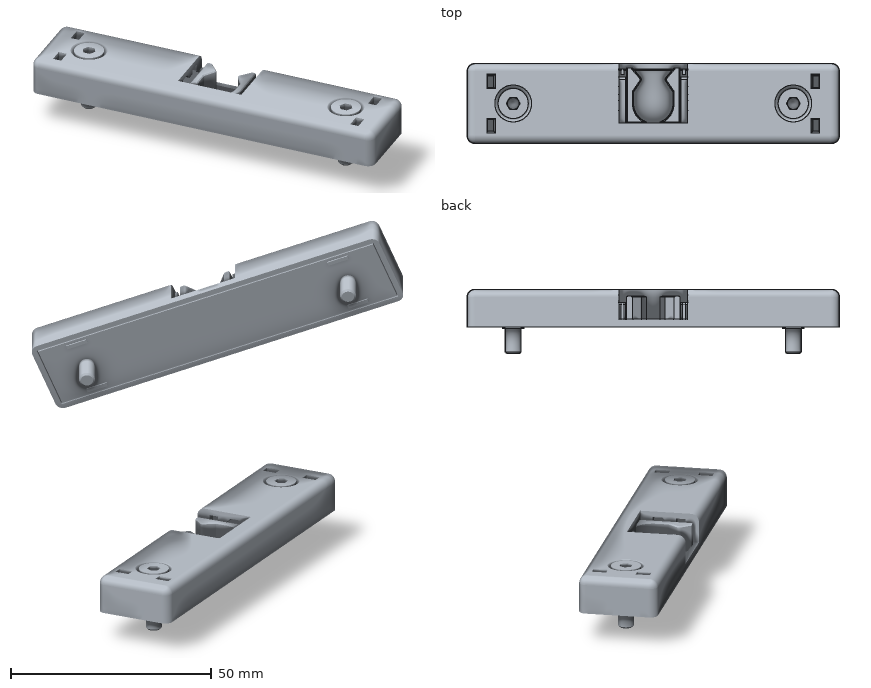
import cadquery as cq
import math

LENGTH = 93.0
WIDTH = 20.0
HEIGHT = 9.5
EDGE_RADIUS = 2.0

BASE_THICKNESS = 1.0
SILL_WIDTH = 1.4
BASE_CLEARANCE = 0.3
FOOT_LENGTH = 5.4
FOOT_WIDTH = 1.0
FOOT_HEIGHT = 0.3
FOOT_Y = 7.0

NOTCH_WIDTH = 17.2
NOTCH_FRONT_Y = -4.9
SILL_HEIGHT = 2.0
REAR_Y = WIDTH / 2
SILL_INNER_Y = REAR_Y - SILL_WIDTH

LEDGE_TOP_Z = 6.2
LEDGE_WIDTH = 1.7
LEDGE_END_Y = 6.6
LEDGE_CHAMFER = 0.6
STOP_WIDTH = 0.65
STOP_INSET = 0.9
STOP_LENGTH = 1.4

RECESS_DEPTH = 1.9
RECESS_FRONT_Y = -1.8
RECESS_TOP_Z = 8.0
LINTEL_Z = 6.5
LINTEL_FRONT_Y = 2.2
LINTEL_REAR_Y = 4.2

JAW_TOP_Z = 7.8
JAW_GAP = 0.3
JAW_OUTER_X = NOTCH_WIDTH / 2 - LEDGE_WIDTH - JAW_GAP
JAW_FRONT_Y = NOTCH_FRONT_Y + JAW_GAP
JAW_REAR_Y = 8.8
JAW_CHAMFER = 0.3
BOWL_RADIUS = 4.9
BOWL_STRAIGHT_Y = 2.9
NOSE_X = 2.8
NOSE_Y = 6.0
NOSE_RADIUS = 0.7
HORN_X = 5.2

SCREW_X = 35.0
SHANK_DIAMETER = 4.0
SCREW_TIP_Z = -6.6
TIP_CHAMFER = 0.5
HEAD_DIAMETER = 7.5
COUNTERSINK_DIAMETER = 9.2
SOCKET_FLATS = 3.0
SOCKET_DEPTH = 2.0
DRILL_POINT_ANGLE = 118

POCKET_X = 40.5
POCKET_Y = 5.6
POCKET_LENGTH = 2.2
POCKET_WIDTH = 3.6
POCKET_DEPTH = 5.6
POCKET_SIDE_TAPER = 0.42
POCKET_FLOOR_SHIFT_X = 0.2
POCKET_FLOOR_SHIFT_Y = 0.14

SIDES = (-1, 1)


def block(x_min, x_max, y_min, y_max, z_min, z_max):
    """Axis-aligned box between the given limits."""
    return (
        cq.Workplane("XY", origin=(x_min, y_min, z_min))
        .box(x_max - x_min, y_max - y_min, z_max - z_min, centered=False)
    )


def on_side(body, side):
    """The +X body itself, or its mirror image for the -X side."""
    return body if side > 0 else body.mirror("YZ")


def screw_places():
    """Centres of the two screws."""
    return [(side * SCREW_X, 0) for side in SIDES]


def shank_holes(depth):
    """Cylinders for both screw shanks, from Z = 0 up."""
    return cq.Workplane("XY").pushPoints(screw_places()).circle(SHANK_DIAMETER / 2).extrude(depth)


def countersink_cone():
    """Cone at 45 degrees from the top face down to its point."""
    radius = COUNTERSINK_DIAMETER / 2
    return cq.Workplane("XZ").polyline(
        [(0, HEIGHT), (radius, HEIGHT), (0, HEIGHT - radius)]
    ).close().revolve(360, (0, 0, 0), (0, 1, 0))


def pocket(side_x, side_y):
    """Tapered pocket whose floor is shifted outwards along X and inwards along Y."""
    return (
        cq.Workplane("XY", origin=(side_x * POCKET_X, side_y * POCKET_Y, HEIGHT))
        .rect(POCKET_LENGTH, POCKET_WIDTH)
        .workplane(offset=-POCKET_DEPTH)
        .center(side_x * POCKET_FLOOR_SHIFT_X, -side_y * POCKET_FLOOR_SHIFT_Y)
        .rect(POCKET_LENGTH - 2 * POCKET_SIDE_TAPER, POCKET_WIDTH - 2 * POCKET_SIDE_TAPER)
        .loft(ruled=True)
    )


def ledge():
    """Ledge and stop rib on the +X side of the notch."""
    wall_x = NOTCH_WIDTH / 2
    step = block(
        wall_x - LEDGE_WIDTH, wall_x, NOTCH_FRONT_Y, LEDGE_END_Y, BASE_THICKNESS, LEDGE_TOP_Z
    ).faces(">Z").edges(">Y").chamfer(LEDGE_CHAMFER)
    stop_x = wall_x - STOP_INSET
    stop = block(
        stop_x - STOP_WIDTH / 2, stop_x + STOP_WIDTH / 2,
        SILL_INNER_Y - STOP_LENGTH, SILL_INNER_Y, BASE_THICKNESS, LEDGE_TOP_Z,
    )
    return step.union(stop)


def wall_recess():
    """Recess into the +X wall of the notch, with a lintel between its two openings."""
    drop = RECESS_TOP_Z - LINTEL_Z
    return (
        cq.Workplane("YZ", origin=(NOTCH_WIDTH / 2, 0, 0))
        .polyline([
            (RECESS_FRONT_Y, LEDGE_TOP_Z),
            (RECESS_FRONT_Y, RECESS_TOP_Z),
            (LINTEL_FRONT_Y - drop, RECESS_TOP_Z),
            (LINTEL_FRONT_Y, LINTEL_Z),
            (LINTEL_REAR_Y, LINTEL_Z),
            (LINTEL_REAR_Y, RECESS_TOP_Z),
            (LEDGE_END_Y, RECESS_TOP_Z),
            (LEDGE_END_Y, LEDGE_TOP_Z),
        ])
        .close()
        .extrude(RECESS_DEPTH)
    )


def inset_plate(inset):
    """Plate as thick as the base, set in from the outer sides of the housing."""
    return cq.Workplane("XY").rect(LENGTH - 2 * inset, WIDTH - 2 * inset).extrude(BASE_THICKNESS)


def make_housing():
    """Rounded block with the base recess, notch, ledges, pockets and screw holes."""
    body = (
        cq.Workplane("XY").box(LENGTH, WIDTH, HEIGHT, centered=(True, True, False))
        .edges("|Z or >Z").fillet(EDGE_RADIUS)
    )
    body = body.cut(inset_plate(SILL_WIDTH))
    half_notch = NOTCH_WIDTH / 2
    body = body.cut(block(-half_notch, half_notch, NOTCH_FRONT_Y, REAR_Y, SILL_HEIGHT, HEIGHT))
    body = body.cut(block(-half_notch, half_notch, NOTCH_FRONT_Y, SILL_INNER_Y, 0, HEIGHT))
    for side in SIDES:
        body = body.union(on_side(ledge(), side))
        body = body.cut(on_side(wall_recess(), side))
        for side_y in SIDES:
            body = body.cut(pocket(side, side_y))
    for x, y in screw_places():
        body = body.cut(countersink_cone().translate((x, y, 0)))
    return body.cut(shank_holes(HEIGHT))


def make_base():
    """Base plate with two feet beside each screw."""
    plate = inset_plate(SILL_WIDTH + BASE_CLEARANCE)
    foot_places = [(x, side * FOOT_Y) for x, _ in screw_places() for side in SIDES]
    feet = cq.Workplane("XY").pushPoints(foot_places).rect(FOOT_LENGTH, FOOT_WIDTH).extrude(-FOOT_HEIGHT)
    return plate.cut(shank_holes(BASE_THICKNESS)).union(feet)


def make_jaw():
    """Jaw on the +X side: a round bowl that narrows to a nose and flares to a horn over the sill."""
    tip_x = math.sqrt(BOWL_RADIUS**2 - JAW_FRONT_Y**2)
    bowl_middle = BOWL_RADIUS * math.sqrt(0.5)
    return (
        cq.Workplane("XY", origin=(0, 0, BASE_THICKNESS))
        .moveTo(tip_x, JAW_FRONT_Y)
        .threePointArc((bowl_middle, -bowl_middle), (BOWL_RADIUS, 0))
        .lineTo(BOWL_RADIUS, BOWL_STRAIGHT_Y)
        .lineTo(NOSE_X, NOSE_Y)
        .lineTo(HORN_X, JAW_REAR_Y)
        .lineTo(JAW_OUTER_X, JAW_REAR_Y)
        .lineTo(JAW_OUTER_X, JAW_FRONT_Y)
        .close()
        .extrude(JAW_TOP_Z - BASE_THICKNESS)
        .edges(cq.selectors.NearestToPointSelector((NOSE_X, NOSE_Y, JAW_TOP_Z / 2)))
        .fillet(NOSE_RADIUS)
        .faces(">Z").edges("not |X").chamfer(JAW_CHAMFER)
        .cut(block(0, JAW_OUTER_X, SILL_INNER_Y, JAW_REAR_Y, BASE_THICKNESS, SILL_HEIGHT))
    )


def make_screw():
    """Countersunk screw whose head is flush with the top face, with a hexagon socket."""
    shank = SHANK_DIAMETER / 2
    head = HEAD_DIAMETER / 2
    rim_z = HEIGHT - (COUNTERSINK_DIAMETER - HEAD_DIAMETER) / 2
    neck_z = rim_z - (head - shank)
    profile = [
        (0, HEIGHT), (head, HEIGHT), (head, rim_z), (shank, neck_z),
        (shank, SCREW_TIP_Z + TIP_CHAMFER), (shank - TIP_CHAMFER, SCREW_TIP_Z), (0, SCREW_TIP_Z),
    ]
    screw = cq.Workplane("XZ").polyline(profile).close().revolve(360, (0, 0, 0), (0, 1, 0))
    socket_floor = HEIGHT - SOCKET_DEPTH
    socket = (
        cq.Workplane("XY", origin=(0, 0, socket_floor))
        .polygon(6, SOCKET_FLATS / math.cos(math.pi / 6)).extrude(SOCKET_DEPTH)
    )
    drill_radius = SOCKET_FLATS / 2
    drill_depth = drill_radius / math.tan(math.radians(DRILL_POINT_ANGLE / 2))
    drill_point = cq.Workplane("XZ").polyline(
        [(0, socket_floor), (drill_radius, socket_floor), (0, socket_floor - drill_depth)]
    ).close().revolve(360, (0, 0, 0), (0, 1, 0))
    return screw.cut(socket).cut(drill_point)


housing = make_housing()
base = make_base()
jaws = [on_side(make_jaw(), side) for side in SIDES]
screws = [make_screw().translate((x, y, 0)) for x, y in screw_places()]

bodies = [housing, base, *jaws, *screws]
result = cq.Compound.makeCompound([body.solids().val() for body in bodies])